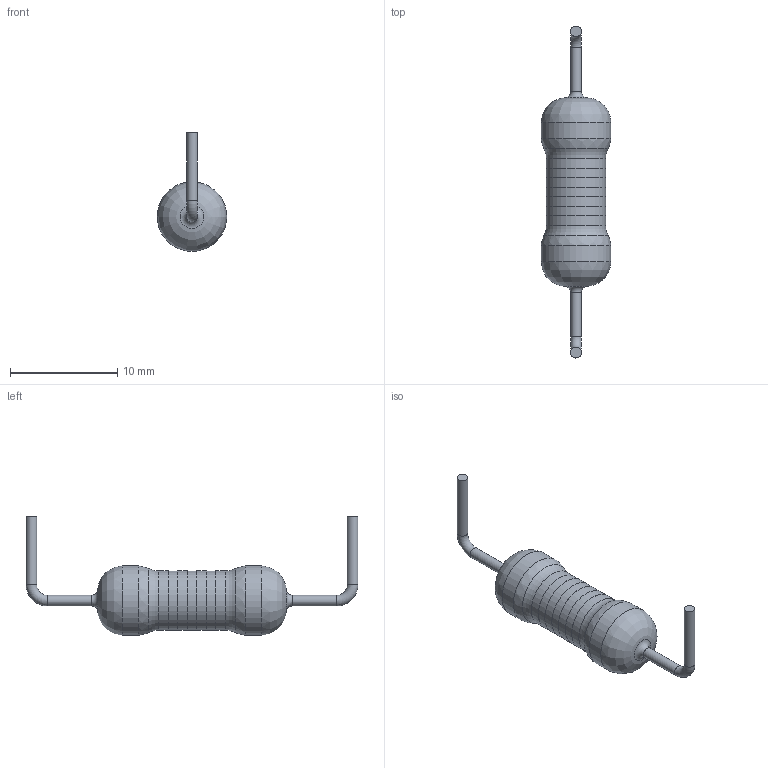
import cadquery as cq
import math


lead_diameter = 1.0
lead_pitch = 30.0
lead_top = 7.85
bend_radius = 1.5

cap_diameter = 6.5
waist_diameter = 5.53
body_length = 17.58
dome_depth = 2.27
cap_land = 1.5
collar_radius = 0.6

band_diameter = 5.54
band_count = 4
band_width = 0.93
band_gap = 0.85

lead_radius = lead_diameter / 2
cap_radius = cap_diameter / 2
waist_radius = waist_diameter / 2
half_body = body_length / 2
half_pitch = lead_pitch / 2

band_pitch = band_width + band_gap
waist_length = band_count * band_pitch - band_gap
half_waist = waist_length / 2
land_outer_y = half_body - dome_depth
land_inner_y = land_outer_y - cap_land


def make_disc(diameter, start_y, length):
    """Cylinder on the Y axis, extending along +Y from start_y."""
    plane = cq.Workplane("XZ", origin=(0, start_y, 0))
    return plane.circle(diameter / 2).extrude(-length)


def make_cap():
    """+Y end of the body: flared shoulder, land, dome and lead collar."""
    root_y = half_waist - band_width
    shoulder_y = (half_waist + land_inner_y) / 2
    shoulder_radius = (waist_radius + cap_radius) / 2
    collar_foot_radius = lead_radius + collar_radius
    collar_end_y = half_body + collar_radius
    collar_inset = collar_radius * math.sqrt(0.5)
    collar_middle = (collar_foot_radius - collar_inset, collar_end_y - collar_inset)
    profile = (
        cq.Workplane("XY")
        .moveTo(0, root_y)
        .lineTo(waist_radius, root_y)
        .lineTo(waist_radius, half_waist)
        .tangentArcPoint((shoulder_radius, shoulder_y), relative=False)
        .tangentArcPoint((cap_radius, land_inner_y), relative=False)
        .lineTo(cap_radius, land_outer_y)
        .tangentArcPoint((collar_foot_radius, half_body), relative=False)
        .threePointArc(collar_middle, (lead_radius, collar_end_y))
        .lineTo(0, collar_end_y)
        .close()
    )
    return profile.revolve(360, (0, 0, 0), (0, 1, 0))


def make_lead():
    """Round wire from inside the +Y cap out along +Y and up to its tip."""
    path = (
        cq.Workplane("YZ")
        .moveTo(land_outer_y, 0)
        .lineTo(half_pitch - bend_radius, 0)
        .tangentArcPoint((half_pitch, bend_radius), relative=False)
        .lineTo(half_pitch, lead_top)
    )
    section = cq.Workplane("XZ", origin=(0, land_outer_y, 0)).circle(lead_radius)
    return section.sweep(path)


result = make_disc(waist_diameter, -half_waist, waist_length)
for index in range(band_count):
    band_start_y = -half_waist + index * band_pitch
    result = result.union(make_disc(band_diameter, band_start_y, band_width))

body_end = make_cap().union(make_lead())
result = result.union(body_end).union(body_end.mirror("XZ"))